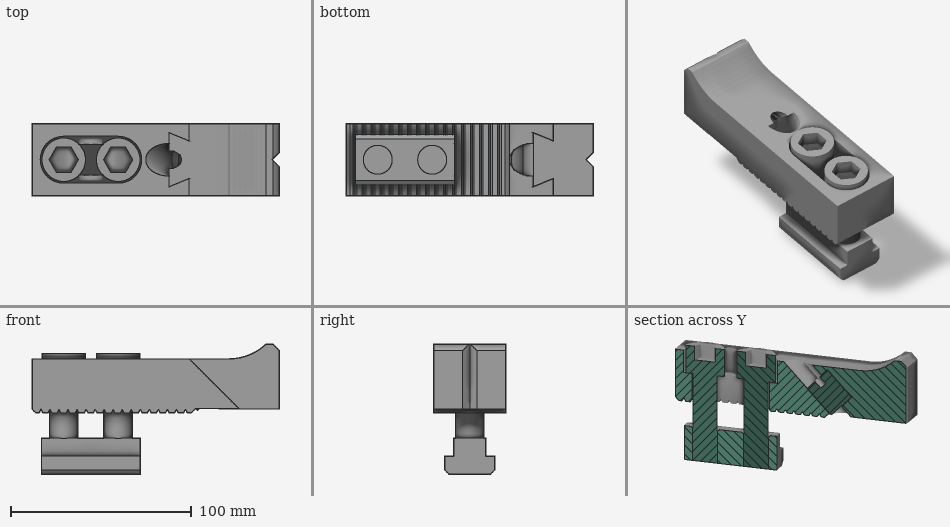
import cadquery as cq
import math


total_length = 137.0
width = 40.0
total_height = 72.0
base_top = 64.0

base_bottom = 36.3
tooth_tip = 34.0
end_bevel = 2.0
groove_depth = 1.9
groove_width = 2.0
groove_spaces = 16
first_groove = 5.0
groove_pitch = 80.0 / groove_spaces
last_flat_end = 88.1
last_bevel = base_bottom - tooth_tip

split_top = 87.0
jaw_bottom = 36.0
scoop_radius = 30.0
scoop_start = 109.0
nose_bevel = 3.5
notch_depth = 4.0

slope = math.radians(45)
dovetail_width = 30.0
dovetail_depth = 8.0
dovetail_flank = math.radians(60)

adjuster_radius = 9.0
adjuster_start = 11.4
adjuster_length = 20.0
adjuster_hex = 8.0
adjuster_hex_depth = 5.0
key_hole_radius = 5.0

screw_spacing = 30.1
shank_diameter = 16.0
head_diameter = 24.1
head_height = 16.0
head_top = 67.0
head_hex = 14.0
head_hex_depth = 8.0
slot_width = 17.0
head_slot_width = 26.0

nut_start = 5.2
nut_length = 54.8
nut_height = 20.0
nut_foot_width = 27.8
nut_foot_height = 10.0
nut_neck_width = 17.8
nut_bevel = 2.5
nut_countersink_diameter = 18.2

screw_middle = nut_start + nut_length / 2
screw_places = [screw_middle - screw_spacing / 2, screw_middle + screw_spacing / 2]
head_seat = head_top - head_height
corners_per_flat = 2 / math.sqrt(3)
floor_top = split_top - dovetail_depth / math.sin(slope)
reach = total_length

slope_plane = cq.Plane(
    origin=(floor_top, 0, base_top),
    xDir=(0, 1, 0),
    normal=(math.cos(slope), 0, -math.sin(slope)),
)


def split_x(z):
    """X of the sloping face between base and jaw at height z."""
    return split_top + (base_top - z) / math.tan(slope)


def across_width(outline):
    """Extrude an XZ outline over the full width."""
    return outline.extrude(width / 2, both=True)


def slope_cylinder(radius, start, length):
    """Cylinder along the dovetail floor."""
    return cq.Workplane(slope_plane).workplane(offset=start).circle(radius).extrude(length)


def dovetail_bar():
    """Dovetail running past both ends of the slope."""
    half_floor = dovetail_width / 2
    half_neck = half_floor - dovetail_depth / math.tan(dovetail_flank)
    outline = [
        (-half_floor, 0),
        (half_floor, 0),
        (half_neck, dovetail_depth),
        (-half_neck, dovetail_depth),
    ]
    return cq.Workplane(slope_plane).polyline(outline).close().extrude(reach, both=True)


def slot(slot_size, bottom, top):
    """Round-ended slot around both cap screws."""
    return (
        cq.Workplane("XY", origin=(screw_middle, 0, bottom))
        .slot2D(screw_spacing + slot_size, slot_size)
        .extrude(top - bottom)
    )


def tooth_groove(x):
    """V groove across the underside of the base."""
    outline = (
        cq.Workplane("XZ")
        .moveTo(x - groove_width / 2, tooth_tip)
        .lineTo(x, tooth_tip + groove_depth)
        .lineTo(x + groove_width / 2, tooth_tip)
        .close()
    )
    return across_width(outline)


def make_base():
    outline = (
        cq.Workplane("XZ")
        .moveTo(0, base_top)
        .lineTo(split_top, base_top)
        .lineTo(split_x(base_bottom), base_bottom)
        .lineTo(last_flat_end + last_bevel, base_bottom)
        .lineTo(last_flat_end, tooth_tip)
        .lineTo(end_bevel, tooth_tip)
        .lineTo(0, tooth_tip + end_bevel)
        .close()
    )
    base = across_width(outline)
    for index in range(groove_spaces + 1):
        base = base.cut(tooth_groove(first_groove + index * groove_pitch))
    base = base.cut(dovetail_bar())
    base = base.cut(slope_cylinder(adjuster_radius, -reach, 2 * reach))
    base = base.cut(slot(slot_width, 0, head_seat))
    return base.cut(slot(head_slot_width, head_seat, base_top))


def make_jaw():
    scoop_rise = total_height - base_top
    scoop_angle = math.acos(1 - scoop_rise / scoop_radius)
    half_angle = scoop_angle / 2
    scoop_middle = (
        scoop_start + scoop_radius * math.sin(half_angle),
        base_top + scoop_radius * (1 - math.cos(half_angle)),
    )
    scoop_end = (scoop_start + scoop_radius * math.sin(scoop_angle), total_height)
    outline = (
        cq.Workplane("XZ")
        .moveTo(split_top, base_top)
        .lineTo(scoop_start, base_top)
        .threePointArc(scoop_middle, scoop_end)
        .lineTo(total_length - nose_bevel, total_height)
        .lineTo(total_length, total_height - nose_bevel)
        .lineTo(total_length, jaw_bottom)
        .lineTo(split_x(jaw_bottom), jaw_bottom)
        .close()
    )
    jaw_slab = (
        cq.Workplane("XY", origin=(0, 0, jaw_bottom))
        .rect(2 * reach, width)
        .extrude(base_top - jaw_bottom)
    )
    jaw = across_width(outline).union(dovetail_bar().intersect(jaw_slab))

    jaw = jaw.cut(slope_cylinder(adjuster_radius, adjuster_start, adjuster_length))
    jaw = jaw.cut(slope_cylinder(key_hole_radius, -reach, reach + adjuster_start))

    notch = (
        cq.Workplane("XY")
        .moveTo(total_length - notch_depth, 0)
        .lineTo(total_length, notch_depth)
        .lineTo(total_length, -notch_depth)
        .close()
        .extrude(total_height)
    )
    return jaw.cut(notch)


def make_adjuster():
    """Headless screw with a hexagon socket in its upper end."""
    socket = (
        cq.Workplane(slope_plane)
        .workplane(offset=adjuster_start)
        .polygon(6, adjuster_hex * corners_per_flat)
        .extrude(adjuster_hex_depth)
    )
    return slope_cylinder(adjuster_radius, adjuster_start, adjuster_length).cut(socket)


def make_cap_screw(x):
    shank = cq.Workplane("XY", origin=(x, 0, 0)).circle(shank_diameter / 2).extrude(head_seat)
    head = (
        cq.Workplane("XY", origin=(x, 0, head_seat))
        .circle(head_diameter / 2)
        .extrude(head_height)
    )
    socket = (
        cq.Workplane("XY", origin=(x, 0, head_top))
        .polygon(6, head_hex * corners_per_flat)
        .extrude(-head_hex_depth)
    )
    return shank.union(head).cut(socket)


def nut_countersink(x):
    """45 degree cone at the mouth of a T-nut hole, slightly wider than the neck."""
    mouth_radius = nut_countersink_diameter / 2
    outline = cq.Workplane("XZ").moveTo(0, nut_height).lineTo(mouth_radius, nut_height)
    cone = outline.lineTo(0, nut_height - mouth_radius).close().revolve(360, (0, 0), (0, 1))
    return cone.translate((x, 0, 0))


def make_t_nut():
    half_foot = nut_foot_width / 2
    half_neck = nut_neck_width / 2
    right_half = [
        (half_foot - nut_bevel, 0),
        (half_foot, nut_bevel),
        (half_foot, nut_foot_height),
        (half_neck, nut_foot_height),
        (half_neck, nut_height),
    ]
    left_half = [(-y, z) for y, z in reversed(right_half)]
    nut = (
        cq.Workplane("YZ", origin=(nut_start, 0, 0))
        .polyline(right_half + left_half)
        .close()
        .extrude(nut_length)
    )
    for x in screw_places:
        hole = cq.Workplane("XY", origin=(x, 0, 0)).circle(shank_diameter / 2).extrude(nut_height)
        nut = nut.cut(hole).cut(nut_countersink(x))
    return nut


base = make_base()
jaw = make_jaw()
adjuster = make_adjuster()
t_nut = make_t_nut()
cap_screws = [make_cap_screw(x) for x in screw_places]

result = cq.Compound.makeCompound(
    [
        base.solids().val(),
        jaw.solids().val(),
        adjuster.solids().val(),
        t_nut.solids().val(),
        *[screw.solids().val() for screw in cap_screws],
    ]
)